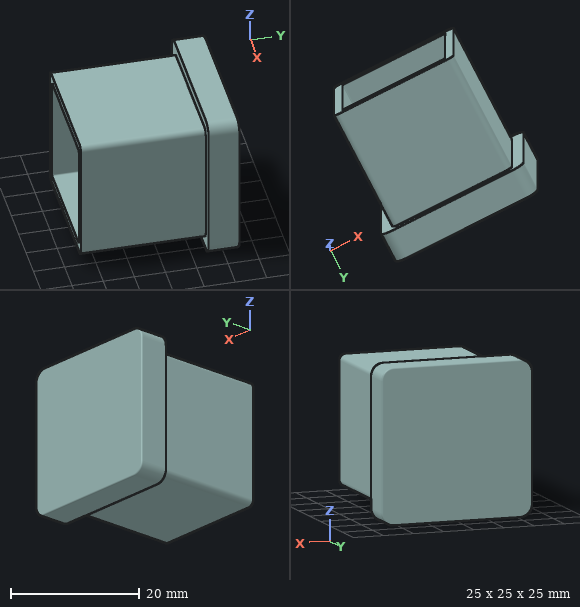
import cadquery as cq

flange_width = 25.0
flange_thickness = 5.0
flange_corner_radius = 2.0
rim_radius = 0.25

total_length = 25.0
plug_width = 21.0
plug_corner_radius = 1.0
wall_thickness = 1.5
cavity_corner_radius = 0.25

plug_length = total_length - flange_thickness
cavity_width = plug_width - 2 * wall_thickness


def square_bar(width, start_y, length):
    """Square bar centred on the Y axis, running from start_y toward +Y."""
    return (
        cq.Workplane("XZ", origin=(0, start_y, 0))
        .rect(width, width)
        .extrude(-length)
    )


flange = (
    square_bar(flange_width, plug_length, flange_thickness)
    .edges("|Y")
    .fillet(flange_corner_radius)
    .faces(">Y")
    .edges()
    .fillet(rim_radius)
)

plug = square_bar(plug_width, 0, plug_length).edges("|Y").fillet(plug_corner_radius)
cavity = square_bar(cavity_width, 0, plug_length).edges("|Y").fillet(cavity_corner_radius)

result = flange.union(plug).cut(cavity)